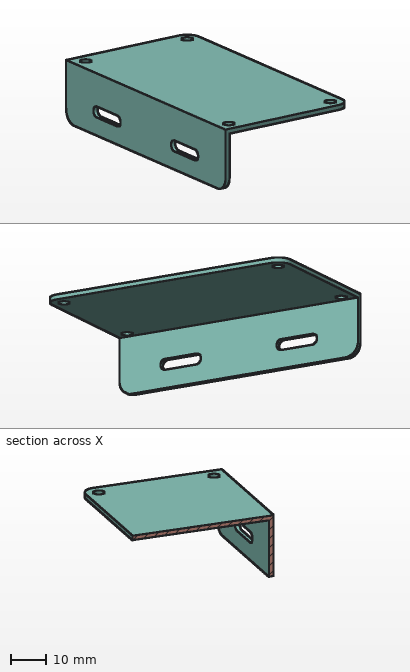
import cadquery as cq

length = 78.0
depth = 43.0
height = 18.5
thickness = 1.5
corner_radius = 4.0

hole_diameter = 3.2
hole_inset = corner_radius

slot_width = hole_diameter
slot_length = 13.2
slot_spacing = 38.0
slot_height = 7.0


def make_plate():
    """Horizontal plate with rounded rear corners and four corner holes."""
    plate = cq.Workplane("XY").box(length, depth, thickness, centered=(True, False, False))
    plate = plate.edges("|Z and >Y").fillet(corner_radius)
    holes = (
        cq.Workplane("XY")
        .center(0, depth / 2)
        .rect(length - 2 * hole_inset, depth - 2 * hole_inset, forConstruction=True)
        .vertices()
        .circle(hole_diameter / 2)
        .extrude(thickness)
    )
    return plate.cut(holes).translate((0, 0, height - thickness))


def make_flange():
    """Vertical front flange with rounded lower corners and two slots."""
    flange_height = height - thickness
    flange = cq.Workplane("XY").box(length, thickness, flange_height, centered=(True, False, False))
    flange = flange.edges("|Y and <Z").fillet(corner_radius)
    slots = (
        cq.Workplane("XZ")
        .pushPoints([(side * slot_spacing / 2, slot_height) for side in (-1, 1)])
        .slot2D(slot_length, slot_width)
        .extrude(-thickness)
    )
    return flange.cut(slots)


result = make_plate().union(make_flange())